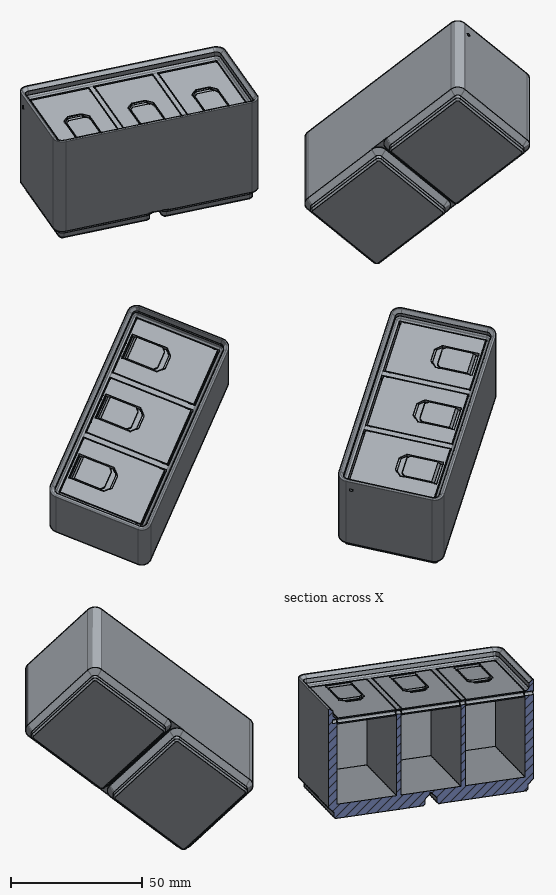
import cadquery as cq
import math


length = 83.5
width = 41.5
height = 45.8
corner_radius = 3.75

foot_count = 2
foot_size = width
foot_pitch = length - foot_size
foot_chamfer = 0.75
foot_band = 1.8
foot_flare = 2.2
foot_neck = 0.25
shell_bottom = foot_chamfer + foot_band + foot_flare + foot_neck

lip_upper_slope = 1.9
lip_band = 1.8
lip_lower_slope = 0.7
rim_radius = 0.4
deck_fillet = 1.25
sharp_rim_z = height + math.sqrt(2) * rim_radius
fillet_drop = deck_fillet * (1 - math.cos(math.radians(45)))
deck_z = sharp_rim_z - lip_upper_slope - lip_band - lip_lower_slope - fillet_drop

compartment_count = 3
wall = 3.5
divider = 2.0
floor_thickness = 1.0
compartment_width = width - 2 * wall
compartment_length = (length - 2 * wall - (compartment_count - 1) * divider) / compartment_count
compartment_pitch = compartment_length + divider
compartment_floor = shell_bottom + floor_thickness

bore_diameter = 1.3
bore_x = -14.95
bore_depth_below_deck = 1.3
bore_z = deck_z - bore_depth_below_deck
bore_end_cover = 1.7

lid_thickness = 2 * bore_depth_below_deck
hinge_gap = 0.75
latch_side_gap = 0.4
lid_end_gap = 0.25
lid_min_x = -compartment_width / 2 + hinge_gap
lid_max_x = compartment_width / 2 - latch_side_gap
lid_length = compartment_length - 2 * lid_end_gap
lid_bottom = deck_z - lid_thickness

recess_min_x = -0.9
recess_max_x = 16.0
recess_width = 10.4
recess_corner = 2.5

ramp_start_depth = 0.3
ramp_angle_degrees = 10

latch_min_x = -0.2
latch_side_clearance = 0.5
latch_end_clearance = 0.25
latch_max_x = recess_max_x - latch_end_clearance
latch_width = recess_width - 2 * latch_side_clearance
latch_end_radius = 0.9
tab_min_x = 1.9
tab_max_x = 14.95
tab_corner = 1.25
tab_chamfer = 1.0


def row_positions(count, pitch):
    """Centred positions of equally spaced items along Y."""
    return [(i - (count - 1) / 2) * pitch for i in range(count)]


def rounded_block(size_x, size_y, radius, z_low, z_high):
    """Upright block with rounded vertical edges."""
    return (
        cq.Workplane("XY", origin=(0, 0, z_low))
        .rect(size_x, size_y)
        .extrude(z_high - z_low)
        .edges("|Z")
        .fillet(radius)
    )


def make_foot(y):
    flare_bottom = foot_chamfer + foot_band
    base_size = foot_size - 2 * foot_flare
    base = rounded_block(base_size, base_size, corner_radius - foot_flare, 0, flare_bottom)
    base = base.faces("<Z").edges().chamfer(foot_chamfer)
    flare = rounded_block(foot_size, foot_size, corner_radius, flare_bottom, shell_bottom)
    flare = flare.faces("<Z").edges().chamfer(foot_flare)
    return base.union(flare).translate((0, y, 0))


def make_stacking_lip():
    """Lip cross-section swept around the rounded outline of the bin."""
    half_width = width / 2
    half_length = length / 2
    diagonal = math.sqrt(0.5)

    rim_arc_z = height - rim_radius
    band_top = sharp_rim_z - lip_upper_slope
    band_bottom = band_top - lip_band
    fillet_top = band_bottom - lip_lower_slope

    slope_start = rim_radius * (1 + diagonal)
    fillet_start = lip_upper_slope + lip_lower_slope
    fillet_end = fillet_start + deck_fillet * diagonal
    fillet_center_z = deck_z + deck_fillet
    fillet_middle = math.radians(22.5)

    path = (
        cq.Workplane("XY", origin=(0, 0, deck_z))
        .moveTo(-half_width, 0)
        .lineTo(-half_width, corner_radius - half_length)
        .radiusArc((corner_radius - half_width, -half_length), -corner_radius)
        .lineTo(half_width - corner_radius, -half_length)
        .radiusArc((half_width, corner_radius - half_length), -corner_radius)
        .lineTo(half_width, half_length - corner_radius)
        .radiusArc((half_width - corner_radius, half_length), -corner_radius)
        .lineTo(corner_radius - half_width, half_length)
        .radiusArc((-half_width, half_length - corner_radius), -corner_radius)
        .close()
    )
    section = (
        cq.Workplane("XZ", origin=(-half_width, 0, 0))
        .moveTo(0, deck_z)
        .lineTo(0, rim_arc_z)
        .threePointArc((rim_radius, height), (slope_start, sharp_rim_z - slope_start))
        .lineTo(lip_upper_slope, band_top)
        .lineTo(lip_upper_slope, band_bottom)
        .lineTo(fillet_start, fillet_top)
        .threePointArc(
            (
                fillet_end - deck_fillet * math.sin(fillet_middle),
                fillet_center_z - deck_fillet * math.cos(fillet_middle),
            ),
            (fillet_end, deck_z),
        )
        .close()
    )
    return section.sweep(path)


def make_hinge_bore():
    start = cq.Vector(bore_x, -length / 2, bore_z)
    depth = length - bore_end_cover
    return cq.Workplane(cq.Solid.makeCylinder(bore_diameter / 2, depth, start, cq.Vector(0, 1, 0)))


def make_bin():
    shell = rounded_block(width, length, corner_radius, shell_bottom, deck_z)
    shell = shell.union(make_stacking_lip())
    for y in row_positions(foot_count, foot_pitch):
        shell = shell.union(make_foot(y))
    for y in row_positions(compartment_count, compartment_pitch):
        compartment = (
            cq.Workplane("XY", origin=(0, y, compartment_floor))
            .rect(compartment_width, compartment_length)
            .extrude(deck_z - compartment_floor)
        )
        shell = shell.cut(compartment)
    return shell.cut(make_hinge_bore())


def cut_corner_prism(min_x, max_x, across, corner, z_low, z_high):
    """Upright prism, a rectangle with its two -X corners cut off at 45 degrees."""
    half = across / 2
    return (
        cq.Workplane("XY", origin=(0, 0, z_low))
        .polyline([
            (max_x, -half),
            (max_x, half),
            (min_x + corner, half),
            (min_x, half - corner),
            (min_x, corner - half),
            (min_x + corner, -half),
        ])
        .close()
        .extrude(z_high - z_low)
    )


def ramp_z(x):
    """Height of the finger ramp at x."""
    fall = (x - recess_min_x) * math.tan(math.radians(ramp_angle_degrees))
    return deck_z - ramp_start_depth - fall


def make_space_above_ramp():
    """Space above the ramp, which levels out under the tab, behind its cut corners."""
    ramp_end_x = tab_min_x + tab_corner
    return (
        cq.Workplane("XZ")
        .polyline([
            (recess_min_x, deck_z),
            (recess_min_x, ramp_z(recess_min_x)),
            (ramp_end_x, ramp_z(ramp_end_x)),
            (recess_max_x, ramp_z(ramp_end_x)),
            (recess_max_x, deck_z),
        ])
        .close()
        .extrude(recess_width / 2, both=True)
    )


def make_lid(y):
    lid = cq.Workplane("XY", origin=(lid_min_x, 0, lid_bottom)).box(
        lid_max_x - lid_min_x, lid_length, lid_thickness, centered=(False, True, False)
    )
    recess = cut_corner_prism(
        recess_min_x, recess_max_x, recess_width, recess_corner, lid_bottom, deck_z
    )
    latch_side = cq.Workplane("XY", origin=(latch_min_x, 0, lid_bottom)).box(
        recess_max_x - latch_min_x, recess_width, lid_thickness, centered=(False, True, False)
    )
    lid = lid.cut(recess.intersect(make_space_above_ramp()))
    lid = lid.cut(recess.intersect(latch_side))
    return lid.translate((0, y, 0)).cut(make_hinge_bore())


def make_latch(y):
    plate_corner = recess_corner - (latch_min_x - recess_min_x)
    plate = cut_corner_prism(
        latch_min_x, latch_max_x, latch_width, plate_corner, lid_bottom, deck_z
    )
    plate = plate.cut(make_space_above_ramp())
    plate = plate.faces(">X").edges(">Z").fillet(latch_end_radius)
    tab = cut_corner_prism(tab_min_x, tab_max_x, latch_width, tab_corner, lid_bottom, deck_z)
    tab = tab.faces(">X").edges(">Z").chamfer(tab_chamfer)
    return plate.union(tab).translate((0, y, 0))


storage_bin = make_bin()
lids = [make_lid(y) for y in row_positions(compartment_count, compartment_pitch)]
latches = [make_latch(y) for y in row_positions(compartment_count, compartment_pitch)]

result = cq.Compound.makeCompound(
    [storage_bin.val()] + [lid.val() for lid in lids] + [latch.val() for latch in latches]
)